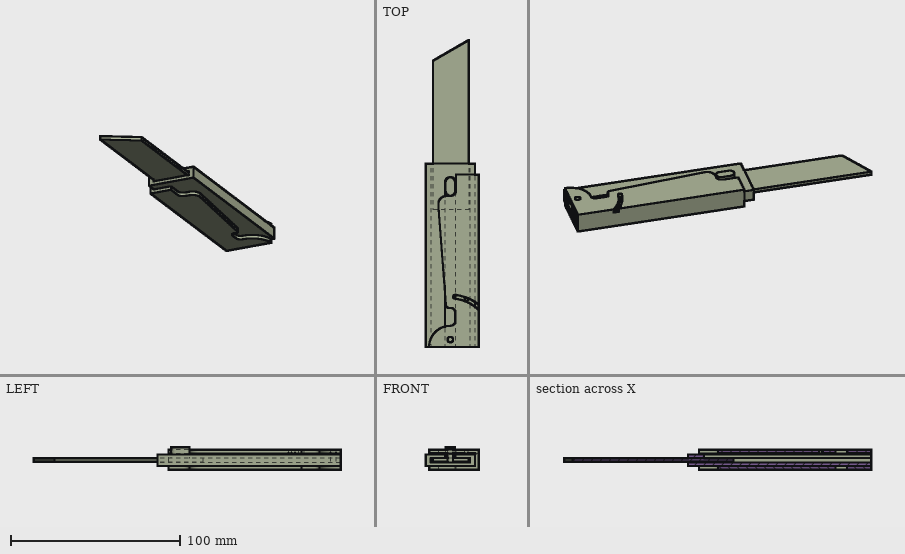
import cadquery as cq
import math


housing_width = 29.25
housing_length = 108.25
housing_height = 7.0
bore_width = 23.0
bore_height = 2.5
center_x = housing_width / 2
slot_width = 6.25
slot_end_y = 100.3

cover_width = 31.5
cover_wall = 2.25
cover_top_gap = 0.5
cover_length = 101.75
housing_z = cover_wall
housing_top = housing_z + housing_height
cover_ceiling = housing_top + cover_top_gap
cover_height = cover_ceiling + cover_wall

heel_radius = 12.55
rest_notch_x = 17.5
rest_notch_top_y = 23.1
rest_notch_radius = 2.7
lip_radius = 1.8
lip_x = 12.15
shoulder_y = 89.2
shoulder_radius = 5.0
taper_angle = 4.37
front_notch_x = 18.0
front_notch_radius = front_notch_x - center_x

pivot_y = 4.4
pivot_diameter = 3.25
stop_track_radius = 25.4
stop_track_width = 2.25
stop_track_start_angle = 6.3
stop_pin_angle = 21.5
stop_pin_diameter = 2.0

blade_width = 21.25
blade_left_x = 4.25
blade_thickness = 2.25
blade_length = 100.0
blade_tip_y = 181.26
tip_angle = 30.0
button_width = 5.5
button_length = 11.0
button_rear_y = shoulder_y
button_top = 13.52

bore_z = housing_z + (housing_height - bore_height) / 2
blade_z = bore_z + bore_height - blade_thickness


def block(x_size, y_size, z_size, x, y, z):
    """Box with its lowest corner at (x, y, z)."""
    return cq.Workplane("XY").box(x_size, y_size, z_size, centered=False).translate((x, y, z))


def disc(x, y, diameter, bottom, top):
    """Vertical cylinder between two heights."""
    return cq.Workplane("XY", origin=(x, y, bottom)).circle(diameter / 2).extrude(top - bottom)


def lengthwise_stadium(width, rear_y, front_y, bottom, top):
    """Round-ended bar along Y on the knife's center line."""
    middle = (center_x, (rear_y + front_y) / 2, bottom)
    return cq.Workplane("XY", origin=middle).slot2D(front_y - rear_y, width, 90).extrude(top - bottom)


def around_pivot(radius, angle):
    """Point at a radius from the pivot, with the angle turned from +Y toward +X."""
    turn = math.radians(angle)
    return (center_x + radius * math.sin(turn), pivot_y + radius * math.cos(turn))


def rounded_corner(outline, before, corner, after, radius):
    """Draw a line toward a corner and an arc of the given radius round it."""
    start = cq.Vector(*before)
    bend = cq.Vector(*corner)
    back = (start - bend).normalized()
    ahead = (cq.Vector(*after) - bend).normalized()
    half_angle = back.getAngle(ahead) / 2
    setback = radius / math.tan(half_angle)
    to_center = (back + ahead).normalized()
    arc_middle = bend + to_center * (radius / math.sin(half_angle) - radius)
    arc_start = bend + back * setback
    arc_end = bend + ahead * setback
    return (
        outline.lineTo(arc_start.x, arc_start.y)
        .threePointArc((arc_middle.x, arc_middle.y), (arc_end.x, arc_end.y))
    )


def make_housing():
    sleeve = block(housing_width, housing_length, housing_height, 0, 0, housing_z)
    bore_x = (housing_width - bore_width) / 2
    bore = block(bore_width, housing_length, bore_height, bore_x, 0, bore_z)
    button_slot = lengthwise_stadium(slot_width, -slot_width, slot_end_y, bore_z, housing_top)
    stop_x, stop_y = around_pivot(stop_track_radius, stop_pin_angle)
    stop_pin = disc(stop_x, stop_y, stop_pin_diameter, housing_top, cover_height)
    return sleeve.cut(bore).cut(button_slot).union(stop_pin)


def cover_outline():
    heel_top = (center_x, heel_radius)
    heel_middle = (center_x - heel_radius * math.sqrt(0.5), heel_radius * math.sqrt(0.5))
    rest_bottom = (rest_notch_x, heel_radius)
    rest_top = (rest_notch_x, rest_notch_top_y)
    lip = (lip_x, rest_notch_top_y)
    taper_rise = shoulder_y - rest_notch_top_y
    shoulder = (lip_x - taper_rise * math.tan(math.radians(taper_angle)), shoulder_y)
    front_notch = (front_notch_x, shoulder_y)
    front_end = (front_notch_x, cover_length)

    outline = cq.Workplane("XY").moveTo(center_x - heel_radius, 0).threePointArc(heel_middle, heel_top)
    outline = rounded_corner(outline, heel_top, rest_bottom, rest_top, rest_notch_radius)
    outline = rounded_corner(outline, rest_bottom, rest_top, lip, rest_notch_radius)
    outline = rounded_corner(outline, rest_top, lip, shoulder, lip_radius)
    outline = rounded_corner(outline, lip, shoulder, front_notch, shoulder_radius)
    outline = rounded_corner(outline, shoulder, front_notch, front_end, front_notch_radius)
    return outline.lineTo(*front_end).lineTo(cover_width, cover_length).lineTo(cover_width, 0).close()


def make_stop_track():
    """Arc slot through the top plate, from its round end out past the right side of the cover."""
    inner_radius = stop_track_radius - stop_track_width / 2
    outer_radius = stop_track_radius + stop_track_width / 2
    side_angle = math.degrees(math.asin((cover_width - center_x) / inner_radius))
    end_angle = side_angle + stop_track_start_angle
    middle_angle = (stop_track_start_angle + end_angle) / 2
    cap_angle = stop_track_start_angle - math.degrees(stop_track_width / 2 / stop_track_radius)
    return (
        cq.Workplane("XY", origin=(0, 0, cover_ceiling))
        .moveTo(*around_pivot(outer_radius, stop_track_start_angle))
        .threePointArc(around_pivot(outer_radius, middle_angle), around_pivot(outer_radius, end_angle))
        .lineTo(*around_pivot(inner_radius, end_angle))
        .threePointArc(
            around_pivot(inner_radius, middle_angle),
            around_pivot(inner_radius, stop_track_start_angle),
        )
        .threePointArc(
            around_pivot(stop_track_radius, cap_angle),
            around_pivot(outer_radius, stop_track_start_angle),
        )
        .close()
        .extrude(cover_wall)
    )


def make_cover():
    body = cover_outline().extrude(cover_height)
    channel_height = cover_ceiling - housing_z
    channel = block(housing_width, cover_length, channel_height, 0, 0, housing_z)
    pivot_hole = disc(center_x, pivot_y, pivot_diameter, cover_ceiling, cover_height)
    return body.cut(channel).cut(pivot_hole).cut(make_stop_track())


def make_blade():
    blade_right_x = blade_left_x + blade_width
    rear_y = blade_tip_y - blade_length
    tip_drop = blade_width * math.tan(math.radians(tip_angle))
    blade = (
        cq.Workplane("XY", origin=(0, 0, blade_z))
        .moveTo(blade_left_x, rear_y)
        .lineTo(blade_right_x, rear_y)
        .lineTo(blade_right_x, blade_tip_y)
        .lineTo(blade_left_x, blade_tip_y - tip_drop)
        .close()
        .extrude(blade_thickness)
    )
    button = lengthwise_stadium(
        button_width, button_rear_y, button_rear_y + button_length, blade_z, button_top
    )
    return blade.union(button)


def make_pivot_pin():
    """Pin standing on the bore floor, passing up through the button slot into the cover."""
    return disc(center_x, pivot_y, pivot_diameter, bore_z, cover_height)


housing = make_housing()
cover = make_cover()
blade = make_blade()
pivot_pin = make_pivot_pin()

result = cq.Compound.makeCompound([housing.val(), cover.val(), blade.val(), pivot_pin.val()])